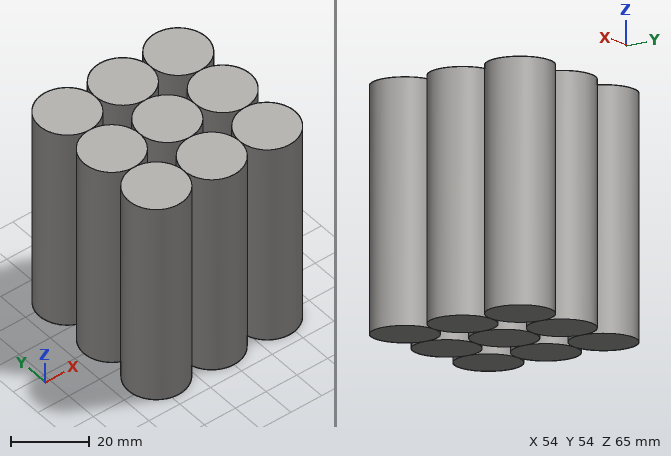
import cadquery as cq

CELL_DIAMETER = 18.0
CELL_HEIGHT = 65.0
CELLS_PER_SIDE = 3

CELL_PITCH = CELL_DIAMETER
FIRST_CENTRE = -CELL_PITCH * (CELLS_PER_SIDE - 1) / 2


def make_cell(x, y):
    """Plain upright cylinder standing on Z = 0 with its axis at (x, y)."""
    return cq.Workplane("XY").center(x, y).circle(CELL_DIAMETER / 2).extrude(CELL_HEIGHT)


cells = []
for column in range(CELLS_PER_SIDE):
    for row in range(CELLS_PER_SIDE):
        x = FIRST_CENTRE + column * CELL_PITCH
        y = FIRST_CENTRE + row * CELL_PITCH
        cells.append(make_cell(x, y).val())

result = cq.Compound.makeCompound(cells)